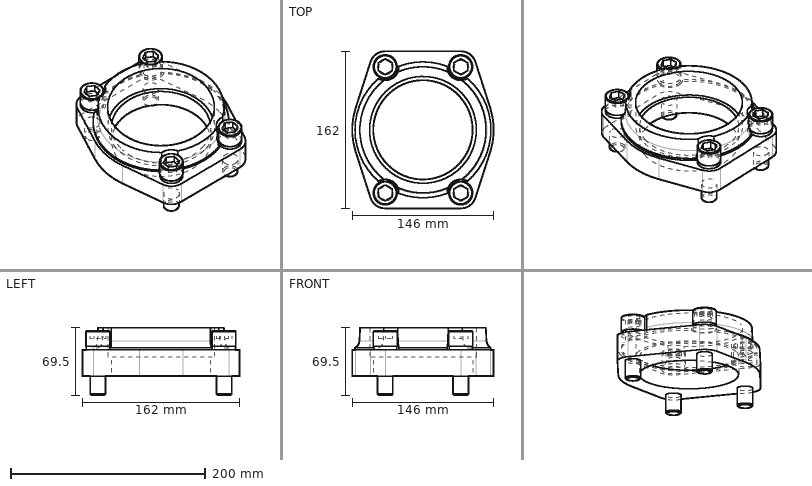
import cadquery as cq
import math

length_y = 162.0
width_x = 146.0
flange_height = 26.9
total_height = 49.9

bolt_x = 38.9
bolt_y = 65.0

bore_diameter = 102.0
socket_diameter = 110.0
socket_depth = 30.0

neck_top_diameter = 130.0
neck_base_diameter = 131.2
flare_diameter = 140.0
rim_height = 2.1
flare_height = 7.5

clearance_diameter = 28.0

shank_diameter = 16.0
shank_projection = 19.6
shank_chamfer = 1.3
washer_diameter = 24.0
washer_height = 3.7
head_diameter = 24.5
head_height = 16.0
head_chamfer = 0.8
hex_across_flats = 14.1
hex_depth = 8.0

bolt_points = [(sx * bolt_x, sy * bolt_y) for sx in (-1, 1) for sy in (-1, 1)]


def make_flange():
    """Plate whose straight flanks are tangent to the round sides and to the bolt corners."""
    side_radius = width_x / 2
    corner_radius = length_y / 2 - bolt_y
    bolt_angle = math.atan2(bolt_y, bolt_x)
    bolt_distance = math.hypot(bolt_x, bolt_y)
    flank_angle = bolt_angle - math.acos((side_radius - corner_radius) / bolt_distance)
    corner_mid_angle = (flank_angle + math.pi / 2) / 2

    side_x = side_radius * math.cos(flank_angle)
    side_y = side_radius * math.sin(flank_angle)
    flank_x = bolt_x + corner_radius * math.cos(flank_angle)
    flank_y = bolt_y + corner_radius * math.sin(flank_angle)
    corner_x = bolt_x + corner_radius * math.cos(corner_mid_angle)
    corner_y = bolt_y + corner_radius * math.sin(corner_mid_angle)
    end_y = length_y / 2

    return (
        cq.Workplane("XY")
        .moveTo(side_x, -side_y)
        .threePointArc((side_radius, 0), (side_x, side_y))
        .lineTo(flank_x, flank_y)
        .threePointArc((corner_x, corner_y), (bolt_x, end_y))
        .lineTo(-bolt_x, end_y)
        .threePointArc((-corner_x, corner_y), (-flank_x, flank_y))
        .lineTo(-side_x, side_y)
        .threePointArc((-side_radius, 0), (-side_x, -side_y))
        .lineTo(-flank_x, -flank_y)
        .threePointArc((-corner_x, -corner_y), (-bolt_x, -end_y))
        .lineTo(bolt_x, -end_y)
        .threePointArc((corner_x, -corner_y), (flank_x, -flank_y))
        .close()
        .extrude(flange_height)
    )


def make_neck():
    """Slightly tapered collar that flares out in a concave arc to a low rim on the flange."""
    neck_radius = neck_base_diameter / 2
    flare_radius = flare_diameter / 2
    rim_top = flange_height + rim_height
    flare_top = rim_top + flare_height
    flare_width = flare_radius - neck_radius
    arc_radius = (flare_width**2 + flare_height**2) / (2 * flare_width)
    half_sweep = math.asin(flare_height / arc_radius) / 2
    flare_middle = (
        neck_radius + arc_radius * (1 - math.cos(half_sweep)),
        flare_top - arc_radius * math.sin(half_sweep),
    )
    return (
        cq.Workplane("XZ")
        .lineTo(flare_radius, 0)
        .lineTo(flare_radius, rim_top)
        .threePointArc(flare_middle, (neck_radius, flare_top))
        .lineTo(neck_top_diameter / 2, total_height)
        .lineTo(0, total_height)
        .close()
        .revolve(360, (0, 0, 0), (0, 1, 0))
    )


def make_bolt():
    """Socket-head bolt on a washer, with its axis on Z."""
    head_base = flange_height + washer_height
    shank = (
        cq.Workplane("XY", origin=(0, 0, -shank_projection))
        .circle(shank_diameter / 2)
        .extrude(shank_projection + head_base)
        .faces("<Z")
        .chamfer(shank_chamfer)
    )
    washer = (
        cq.Workplane("XY", origin=(0, 0, flange_height))
        .circle(washer_diameter / 2)
        .extrude(washer_height)
    )
    hex_across_corners = hex_across_flats / math.cos(math.pi / 6)
    head = (
        cq.Workplane("XY", origin=(0, 0, head_base))
        .circle(head_diameter / 2)
        .extrude(head_height)
        .faces(">Z")
        .chamfer(head_chamfer)
        .faces(">Z")
        .workplane()
        .transformed(rotate=(0, 0, 90))
        .polygon(6, hex_across_corners)
        .cutBlind(-hex_depth)
    )
    return shank.union(washer).union(head)


bolt_clearance = (
    cq.Workplane("XY", origin=(0, 0, flange_height))
    .pushPoints(bolt_points)
    .circle(clearance_diameter / 2)
    .extrude(total_height - flange_height)
)
neck = make_neck().cut(bolt_clearance)

bore = cq.Workplane("XY").circle(bore_diameter / 2).extrude(total_height)
socket = (
    cq.Workplane("XY", origin=(0, 0, total_height - socket_depth))
    .circle(socket_diameter / 2)
    .extrude(socket_depth)
)
result = make_flange().union(neck).cut(bore).cut(socket)

bolt = make_bolt()
for x, y in bolt_points:
    result = result.union(bolt.translate((x, y, 0)))